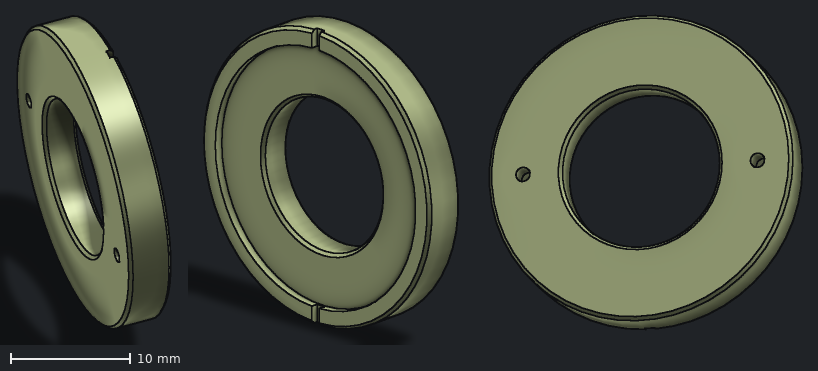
import cadquery as cq

outer_diameter = 26.3
bore_diameter = 13.6
thickness = 3.8
edge_chamfer = 0.3

recess_diameter = 23.1
recess_depth = 0.8

pin_hole_diameter = 1.2
pin_hole_spacing = 20.3
pin_hole_depth = 2.0

slot_width = 0.85
slot_depth = 0.63

front_y = -thickness / 2
back_y = thickness / 2


def make_disc():
    """Solid disc with both outer edges chamfered."""
    disc = cq.Workplane("XZ", origin=(0, back_y, 0)).circle(outer_diameter / 2).extrude(thickness)
    return disc.edges().chamfer(edge_chamfer)


def make_bore():
    """Cutter for the bore, flared at the front face and at the recess floor."""
    bore_radius = bore_diameter / 2
    flare_radius = bore_radius + edge_chamfer
    floor_y = back_y - recess_depth
    half_profile = [
        (0, front_y),
        (flare_radius, front_y),
        (bore_radius, front_y + edge_chamfer),
        (bore_radius, floor_y - edge_chamfer),
        (flare_radius, floor_y),
        (0, floor_y),
    ]
    return cq.Workplane("XY").polyline(half_profile).close().revolve(360, (0, 0), (0, 1))


def make_recess():
    """Cutter for the round recess in the back face."""
    return cq.Workplane("XZ", origin=(0, back_y, 0)).circle(recess_diameter / 2).extrude(recess_depth)


def make_pin_holes():
    """Cutter for the two holes, on opposite sides of the bore."""
    half_spacing = pin_hole_spacing / 2
    return (
        cq.Workplane("XZ", origin=(0, front_y, 0))
        .pushPoints([(-half_spacing, 0), (half_spacing, 0)])
        .circle(pin_hole_diameter / 2)
        .extrude(-pin_hole_depth)
    )


def make_slot():
    """Cutter for the slot, running along Z through both sides of the rim."""
    return cq.Workplane("XY").box(slot_width, slot_depth, outer_diameter).translate(
        (0, back_y - slot_depth / 2, 0)
    )


result = make_disc().cut(make_recess()).cut(make_bore()).cut(make_pin_holes()).cut(make_slot())